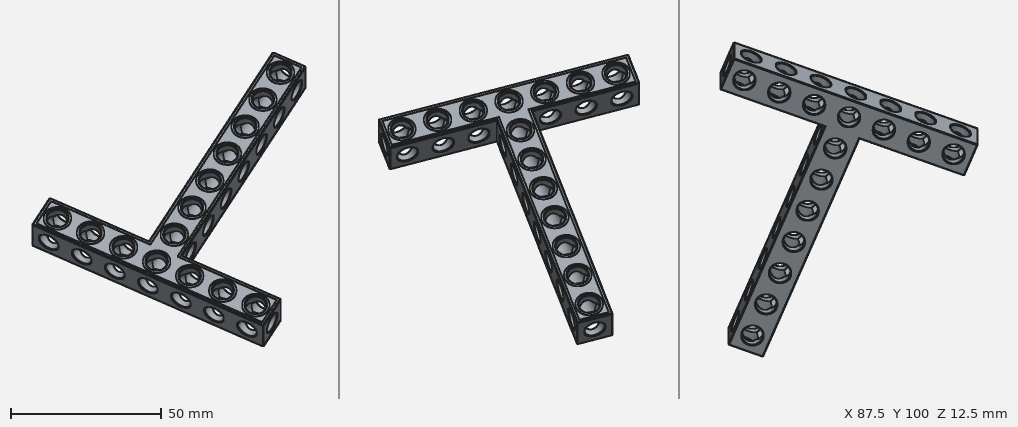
import cadquery as cq

pitch = 12.5
bar_hole_count = 7
stem_hole_count = 7
hole_diameter = 7.0
edge_chamfer = 0.3

pocket_depth = 0.2
rim_width = 1.1
collar_diameter = 9.2

bar_length = bar_hole_count * pitch
total_depth = (stem_hole_count + 1) * pitch
middle = pitch / 2

bar_stations = [(i - (bar_hole_count - 1) / 2) * pitch for i in range(bar_hole_count)]
depth_stations = [middle + i * pitch for i in range(stem_hole_count + 1)]
vertical_centres = [(x, middle) for x in bar_stations] + [(0, y) for y in depth_stations[1:]]


def tee_block(inset, bottom, top):
    """T-shaped block: a bar along X with a stem in +Y, its sides moved in by inset."""
    height = top - bottom
    width = pitch - 2 * inset
    base = cq.Workplane("XY", origin=(0, inset, bottom))
    bar = base.box(bar_length - 2 * inset, width, height, centered=(True, False, False))
    stem = base.box(width, total_depth - 2 * inset, height, centered=(True, False, False))
    return bar.union(stem)


def chamfered_hole(start, direction, length):
    """Cutter for a through hole with a chamfered mouth at both ends."""
    radius = hole_diameter / 2
    mouth_radius = radius + edge_chamfer
    start = cq.Vector(*start)
    direction = cq.Vector(*direction)
    end = start + direction * length
    shaft = cq.Solid.makeCylinder(radius, length, start, direction)
    near_mouth = cq.Solid.makeCone(mouth_radius, radius, edge_chamfer, start, direction)
    far_mouth = cq.Solid.makeCone(mouth_radius, radius, edge_chamfer, end, direction * -1)
    return cq.Workplane(shaft.fuse(near_mouth, far_mouth))


outer_edges = "(not |Z) or <X or >X or >Y"
result = tee_block(0, 0, pitch).edges(outer_edges).chamfer(edge_chamfer)

pocket_floor = pitch - pocket_depth
collars = (
    cq.Workplane("XY", origin=(0, 0, pocket_floor))
    .pushPoints(vertical_centres)
    .circle(collar_diameter / 2)
    .extrude(pocket_depth)
)
result = result.cut(tee_block(rim_width, pocket_floor, pitch).cut(collars))

for x, y in vertical_centres:
    result = result.cut(chamfered_hole((x, y, 0), (0, 0, 1), pitch))

for x in bar_stations:
    length = total_depth if x == 0 else pitch
    result = result.cut(chamfered_hole((x, 0, middle), (0, 1, 0), length))

for y in depth_stations:
    length = bar_length if y == middle else pitch
    result = result.cut(chamfered_hole((-length / 2, y, middle), (1, 0, 0), length))